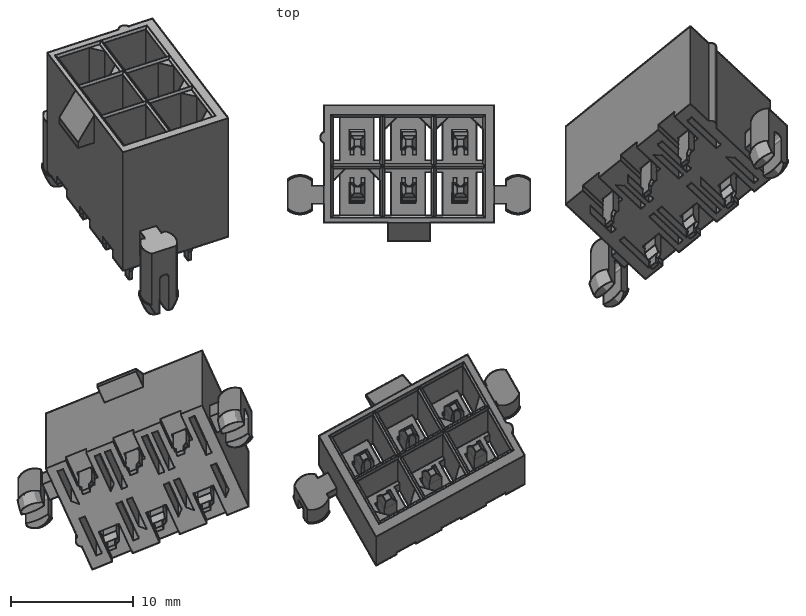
import cadquery as cq
import math


housing_width = 13.9
housing_height = 12.8
rear_face = 5.0
front_face = -4.6

pitch = 4.2
columns = 3
column_places = [(column - (columns - 1) / 2) * pitch for column in range(columns)]
row_sides = (1, -1)
keyed_cells = [(0, -1), (1, 1), (2, 1)]

cell_shift = -0.07
rim_bevel = 0.2
cell_size = pitch - 2 * rim_bevel
key_leg = 0.97
floor_top = 3.0
slot_width = 0.5
slot_ledge = 0.3

notch_width = 1.8
notch_height = 0.8

latch_width = 3.45
latch_reach = 1.5
latch_height = 3.0
latch_lip = 0.6
rib_radius = 0.5
rib_reach = 0.3
rib_y = 2.36

peg_x = 8.9
peg_y = -2.32
peg_thickness = 2.0
peg_radius = 1.5
peg_top = 3.7
barb_radius = 1.62
barb_top = -1.8
barb_bulge = 0.05
peg_tip = -3.35
peg_tip_radius = 1.05
peg_tip_round = 0.35
split_width = 0.82
split_top = 1.0
arm_width = 1.5
arm_height = 2.6

pin_width = 1.17
pin_bottom = -3.5
pin_top = 9.0
tail_outer = 2.84
tail_thickness = 0.65
tail_inner = tail_outer - tail_thickness
tail_tip_width = 0.66
tail_tip_thickness = 0.31
tail_thin_start = -1.35
tail_thin_end = -2.17
tail_narrow_start = -2.0
tail_narrow_end = -2.6
head_outer = 2.51
head_inner = head_outer - pin_width
point_size = 0.55
point_height = 1.0
shoulder_height = 1.2
leg_inner = 0.94
channel_width = 0.62
channel_web = 0.89
channel_bottom = head_outer - channel_web

clearance_width = 1.2
clearance_outer = 2.98


def box(x_range, y_range, z_range):
    """Box spanning the given (start, end) pairs."""
    (x0, x1), (y0, y1), (z0, z1) = x_range, y_range, z_range
    return cq.Workplane("XY").box(x1 - x0, y1 - y0, z1 - z0, centered=False).translate((x0, y0, z0))


def on_row(shape, x, side):
    """Move a rear-row shape to a column, mirroring it for the front row."""
    if side < 0:
        shape = shape.mirror("XZ")
    return shape.translate((x, 0, 0))


def pin_side_profile():
    """Outline of a pin seen along X, extruded across the pin width."""
    outline = [
        (tail_outer, pin_bottom),
        (tail_outer, floor_top),
        (head_outer, floor_top + shoulder_height),
        (head_outer, pin_top),
        (head_inner, pin_top),
        (head_inner, floor_top),
        (leg_inner, floor_top),
        (leg_inner, notch_height),
        (tail_inner, notch_height),
        (tail_inner, tail_thin_start),
        (tail_outer - tail_tip_thickness, tail_thin_end),
        (tail_outer - tail_tip_thickness, pin_bottom),
    ]
    return cq.Workplane("YZ").polyline(outline).close().extrude(pin_width / 2, both=True)


def pin_front_profile():
    """Outline of a pin seen along Y: straight sides and a narrowed tail."""
    half = pin_width / 2
    tip = tail_tip_width / 2
    right_side = [(tip, pin_bottom), (tip, tail_narrow_end), (half, tail_narrow_start), (half, pin_top)]
    left_side = [(-x, z) for x, z in reversed(right_side)]
    return cq.Workplane("XZ").polyline(right_side + left_side).close().extrude(-rear_face)


def pin_channel(start, end):
    """Round-bottomed channel that opens towards the middle wall, between two heights."""
    radius = channel_width / 2
    return (
        cq.Workplane("XY", origin=(0, 0, start))
        .moveTo(-radius, leg_inner)
        .lineTo(radius, leg_inner)
        .lineTo(radius, channel_bottom - radius)
        .threePointArc((0, channel_bottom), (-radius, channel_bottom - radius))
        .close()
        .extrude(end - start)
    )


def pin_point():
    """Tapered point that takes the place of the top of the square head."""
    head_middle = (head_outer + head_inner) / 2
    return (
        cq.Workplane("XY", origin=(0, head_middle, pin_top - point_height))
        .rect(pin_width, pin_width)
        .workplane(offset=point_height)
        .rect(point_size, point_size)
        .loft(combine=True)
    )


def make_pin():
    blunt_pin = pin_side_profile().intersect(pin_front_profile())
    head_end = box((-pin_width, pin_width), (0, rear_face), (pin_top - point_height, pin_top))
    pin = blunt_pin.cut(head_end).union(pin_point())
    return pin.cut(pin_channel(notch_height, pin_top))


def cell_outline(keyed, side, start, end):
    """Prism of one cell, with its +Y corners cut off when the cell is keyed."""
    centre_y = side * pitch / 2
    prism = cq.Workplane("XY", origin=(0, centre_y, start)).rect(cell_size, cell_size).extrude(end - start)
    if keyed:
        prism = prism.edges("|Z and >Y").chamfer(key_leg)
    return prism


def rim_opening(side):
    """Bevelled mouth of one cell; neighbouring mouths meet in a knife edge."""
    return (
        cq.Workplane("XY", origin=(0, side * pitch / 2, housing_height))
        .rect(pitch, pitch)
        .workplane(offset=-rim_bevel)
        .rect(cell_size, cell_size)
        .loft(combine=True)
    )


def floor_slots(keyed, side):
    """Two slots through the floor, trimmed by the corner keys."""
    half = cell_size / 2
    y_range = (rim_bevel + slot_ledge, rim_bevel + cell_size)
    slots = box((-half, slot_width - half), y_range, (0, floor_top)).union(
        box((half - slot_width, half), y_range, (0, floor_top))
    )
    return on_row(slots, 0, side).intersect(cell_outline(keyed, side, 0, floor_top))


def pin_seat():
    """Hole for one pin in the rear row: clearance and tail notch, less the tongue in the channel."""
    half = clearance_width / 2
    clearance = box(
        (cell_shift - half, cell_shift + half), (head_inner, clearance_outer), (notch_height, floor_top)
    )
    seat = clearance.cut(pin_channel(notch_height, floor_top))
    notch_half = notch_width / 2
    notch = box((cell_shift - notch_half, cell_shift + notch_half), (tail_inner, rear_face), (0, notch_height))
    return seat.union(notch)


def make_latch():
    """Ramped latch on the front face."""
    bottom = housing_height - latch_height
    outline = [
        (front_face, housing_height),
        (front_face - latch_reach, bottom + latch_lip),
        (front_face - latch_reach, bottom),
        (front_face, bottom),
    ]
    return cq.Workplane("YZ").polyline(outline).close().extrude(latch_width / 2, both=True)


def make_rib():
    """Round polarising rib up the -X face."""
    centre_x = rib_radius - rib_reach - housing_width / 2
    half_chord = math.sqrt(rib_radius**2 - (rib_radius - rib_reach) ** 2)
    return (
        cq.Workplane("XY")
        .moveTo(-housing_width / 2, rib_y - half_chord)
        .threePointArc((centre_x - rib_radius, rib_y), (-housing_width / 2, rib_y + half_chord))
        .close()
        .extrude(housing_height)
    )


def make_peg():
    """Split board-lock peg with a barbed end, on its own axis."""
    turned = (
        cq.Workplane("XZ")
        .moveTo(0, peg_top)
        .lineTo(peg_radius, peg_top)
        .lineTo(peg_radius, barb_top)
        .lineTo(barb_radius, barb_top)
        .sagittaArc((peg_tip_radius, peg_tip), barb_bulge)
        .lineTo(0, peg_tip)
        .close()
        .revolve(360, (0, 0), (0, 1))
    )
    half = peg_thickness / 2
    flats = (
        cq.Workplane("XZ")
        .moveTo(half, peg_top)
        .lineTo(half, peg_tip + peg_tip_round)
        .threePointArc((0, peg_tip), (-half, peg_tip + peg_tip_round))
        .lineTo(-half, peg_top)
        .close()
        .extrude(2 * peg_radius, both=True)
    )
    split_radius = split_width / 2
    split = (
        cq.Workplane("YZ")
        .moveTo(-split_radius, peg_tip)
        .lineTo(-split_radius, split_top - split_radius)
        .threePointArc((0, split_top), (split_radius, split_top - split_radius))
        .lineTo(split_radius, peg_tip)
        .close()
        .extrude(peg_thickness, both=True)
    )
    return turned.intersect(flats).cut(split)


def make_arm(side):
    """Arm that joins a peg to the end of the housing."""
    inner = side * housing_width / 2
    outer = side * (peg_x - peg_thickness / 2)
    return box(
        (min(inner, outer), max(inner, outer)),
        (peg_y - arm_width / 2, peg_y + arm_width / 2),
        (peg_top - arm_height, peg_top),
    )


def make_housing(pins):
    half_width = housing_width / 2
    body = box((-half_width, half_width), (front_face, rear_face), (0, housing_height))
    body = body.union(make_latch()).union(make_rib())
    for end in (-1, 1):
        body = body.union(make_arm(end)).union(make_peg().translate((end * peg_x, peg_y, 0)))

    seat = pin_seat()
    for column, x in enumerate(column_places):
        for side in row_sides:
            keyed = (column, side) in keyed_cells
            cell = cell_outline(keyed, side, floor_top, housing_height)
            for opening in (cell, rim_opening(side), floor_slots(keyed, side)):
                body = body.cut(opening.translate((x + cell_shift, 0, 0)))
            body = body.cut(on_row(seat, x, side))
    for pin in pins:
        body = body.cut(pin)
    return body


pins = [on_row(make_pin(), x, side) for x in column_places for side in row_sides]
housing = make_housing(pins)

result = cq.Compound.makeCompound([housing.solids().val(), *[pin.solids().val() for pin in pins]])